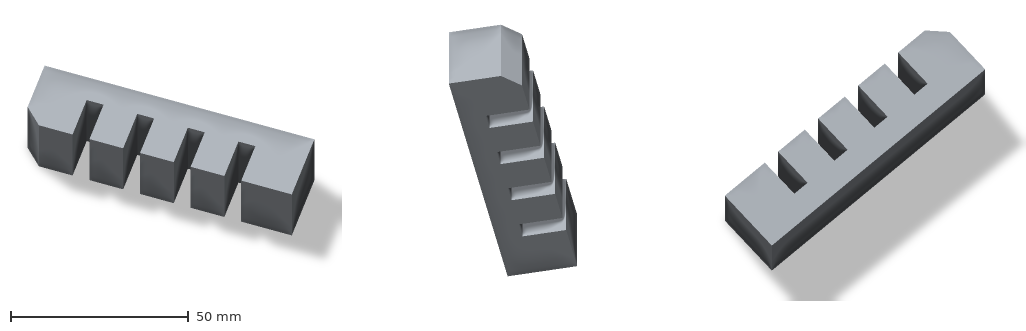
import cadquery as cq

length = 80.0
side = length / 4
slot_count = 4

slot_width = side / 4
slot_pitch = 3 * slot_width
slot_depth = 2.5 * slot_width
first_slot_start = slot_pitch
corner_chamfer = slot_width


def make_bar():
    """Square bar with its minimum corner at the origin and one vertical edge chamfered."""
    bar = cq.Workplane("XY").box(length, side, side, centered=False)
    return bar.edges("|Z").edges("<X").edges("<Y").chamfer(corner_chamfer)


def make_slot(start):
    """Full-height slot cutter whose -X wall lies at start."""
    cutter = cq.Workplane("XY").box(slot_width, slot_depth, side, centered=False)
    return cutter.translate((start, 0, 0))


result = make_bar()
for index in range(slot_count):
    result = result.cut(make_slot(first_slot_start + index * slot_pitch))